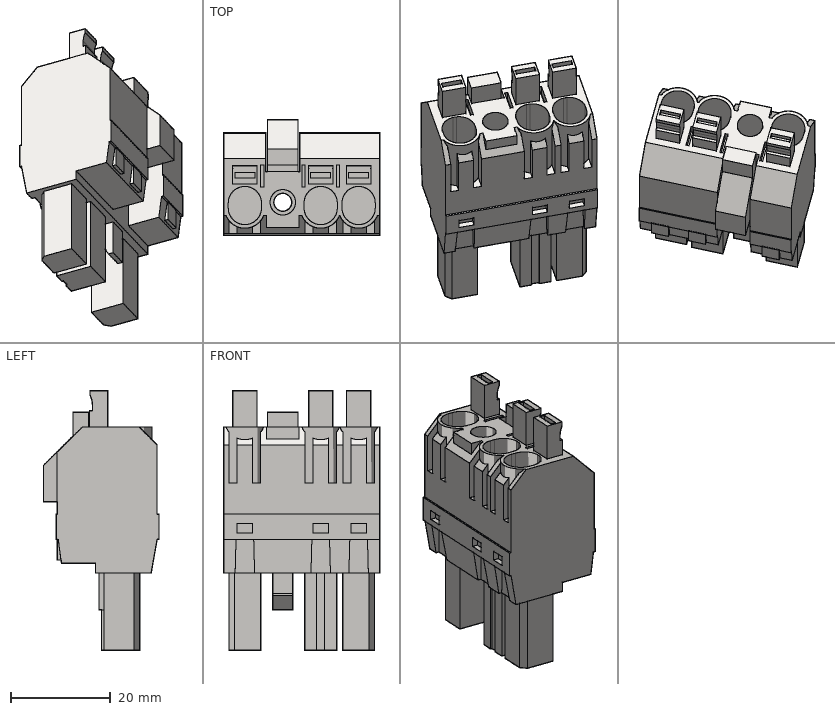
import cadquery as cq
import math


PITCH = 7.6
LATCH_X = -PITCH / 2
POLE_XS = [-1.5 * PITCH, 0.5 * PITCH, 1.5 * PITCH]

HOUSING_WIDTH = 31.35
TOP_Z = 44.8
FRONT_Y = 0.35
BACK_Y = 20.45
FRONT_CHAMFER = 3.6
BACK_CHAMFER = 5.05
BAND_TOP_Z = 27.3
BAND_BOTTOM_Z = 22.25
BAND_BACK_Y = 20.65
BASE_Z = 15.5
BASE_FRONT_Y = 1.55
STEP_Z = 17.45
STEP_Y = 12.75
STEP_BACK_Y = 19.6
SKIRT_BACK_Y = 20.2

ENTRY_RADIUS = 3.35
ENTRY_FRONT_Y = 5.45
ENTRY_STRAIGHT = 1.0
ENTRY_FLAT_WIDTH = 0.75
ENTRY_DEPTH = 15.65
COLLAR_RADIUS = 4.05
GROOVE_WIDTH = 6.35
GROOVE_BOTTOM_Z = 33.55
FINGER_WIDTH = 3.1

SCREW_Y = 6.6
SCREW_RADIUS = 1.75
SCREW_HEAD_RADIUS = 2.55
SCREW_HEAD_DEPTH = 15.65
BOSS_WIDTH = 6.45
BOSS_FRONT_Y = 1.55

SLIT_FRONT_Y = 9.65
SLIT_LENGTH = 4.45
SLIT_WIDTH = 0.6
SLIT_DEPTH = 2.1
LATCH_SLIT_OFFSET = 4.1
POLE_SLIT_X = 7.3

WINDOW_HEIGHT = 1.95
WINDOW_BOTTOM_Z = 23.5
WINDOW_DEPTH = 1.15
RECESS_TOP_WIDTH = 3.55
RECESS_BOTTOM_WIDTH = 3.9
RECESS_FLOOR_Y = 2.25
RIB_BOTTOM_Z = 18.1

PLUG_WIDTH = 6.45
PLUG_FRONT_Y = 3.85
LEFT_PLUG_BACK_Y = 11.05
RIGHT_PLUG_BACK_Y = 11.2
MIDDLE_PLUG_BACK_Y = 11.55
PLUG_CHAMFER = 1.15
PLUG_GROOVE_WIDTH = 1.6
PLUG_GROOVE_DEPTH = 0.3

HOOK_WIDTH = 4.05
HOOK_BACK_Y = 12.1
HOOK_FRONT_Y = 9.7
HOOK_NOSE_Y = 9.4
HOOK_TIP_Y = 11.05
HOOK_LEDGE_Z = 11.35
HOOK_NOSE_Z = 11.0
HOOK_TIP_Z = 8.15

LATCH_SLOT_WIDTH = 6.8
LATCH_WIDTH = 6.2
LATCH_TOP_Z = 47.8
LATCH_FRONT_Y = 14.1
LATCH_SHOULDER_Y = 17.3
LATCH_BACK_Y = 23.2
LATCH_BOTTOM_Z = 29.8
LATCH_SLOPE_BOTTOM_Z = 37.1
LATCH_FOOT_TOP_Z = 41.15

BUTTON_WIDTH = 4.9
BUTTON_FRONT_Y = 10.25
BUTTON_BACK_Y = 13.95
BUTTON_TOP_Z = 52.1
BUTTON_BOTTOM_Z = 39.6
GRIP_BOTTOM_Z = 48.1
GRIP_CURVE_Z = 49.25
GRIP_TOP_Z = 51.15
GRIP_DEPTH = 0.55
TOP_BACK_INSET = 0.1
BLADE_SLOT_WIDTH = 4.0
BLADE_SLOT_FRONT_Y = 11.5
BLADE_SLOT_THICKNESS = 1.05
BLADE_SLOT_DEPTH = 1.05


def block(x_centre, width, y0, y1, z0, z1):
    """Rectangular block centred on x_centre."""
    return cq.Workplane("XY").box(width, y1 - y0, z1 - z0, centered=(True, False, False)).translate(
        (x_centre, y0, z0)
    )


def side_prism(x_centre, width, yz_points):
    """Prism along X with its outline given in the YZ plane."""
    return cq.Workplane("YZ").polyline(yz_points).close().extrude(width / 2, both=True).translate(
        (x_centre, 0, 0)
    )


def cylinder(x, y, radius, z0, z1):
    return cq.Workplane("XY", origin=(x, y, z0)).circle(radius).extrude(z1 - z0)


def housing_shell():
    outline = [
        (BASE_FRONT_Y, BASE_Z),
        (FRONT_Y, BAND_BOTTOM_Z),
        (0, BAND_BOTTOM_Z),
        (0, BAND_TOP_Z),
        (FRONT_Y, BAND_TOP_Z),
        (FRONT_Y, TOP_Z - FRONT_CHAMFER),
        (FRONT_Y + FRONT_CHAMFER, TOP_Z),
        (BACK_Y - BACK_CHAMFER, TOP_Z),
        (BACK_Y, TOP_Z - BACK_CHAMFER),
        (BACK_Y, BAND_TOP_Z),
        (BAND_BACK_Y, BAND_TOP_Z),
        (BAND_BACK_Y, BAND_BOTTOM_Z),
        (SKIRT_BACK_Y, BAND_BOTTOM_Z),
        (STEP_BACK_Y, STEP_Z),
        (STEP_Y, STEP_Z),
        (STEP_Y, BASE_Z),
    ]
    return side_prism(0, HOUSING_WIDTH, outline)


def front_groove(x):
    """Wide groove in front of a wire entry, to be partly refilled by the collar and the finger."""
    return block(x, GROOVE_WIDTH, 0, ENTRY_FRONT_Y, GROOVE_BOTTOM_Z, TOP_Z)


def finger(x):
    """Finger in the middle of a front groove, chamfered like the housing."""
    finger_block = block(x, FINGER_WIDTH, FRONT_Y, ENTRY_FRONT_Y, GROOVE_BOTTOM_Z, TOP_Z)
    return housing_shell().intersect(finger_block)


def entry_collar(x):
    return cylinder(x, ENTRY_FRONT_Y, COLLAR_RADIUS, GROOVE_BOTTOM_Z, TOP_Z)


def entry_hole(x):
    """Oblong hole with a narrow flat on its back wall."""
    slot_length = 2 * ENTRY_RADIUS + ENTRY_STRAIGHT
    floor_z = TOP_Z - ENTRY_DEPTH
    centre = (x, ENTRY_FRONT_Y + ENTRY_STRAIGHT / 2, floor_z)
    hole = cq.Workplane("XY", origin=centre).slot2D(slot_length, 2 * ENTRY_RADIUS, 90).extrude(ENTRY_DEPTH)
    flat_y = ENTRY_FRONT_Y + ENTRY_STRAIGHT + math.sqrt(ENTRY_RADIUS**2 - (ENTRY_FLAT_WIDTH / 2) ** 2)
    return hole.intersect(block(x, 2 * ENTRY_RADIUS, 0, flat_y, floor_z, TOP_Z))


def recess(x):
    """Recess below the band, a little wider at its bottom."""
    half_top = RECESS_TOP_WIDTH / 2
    half_bottom = RECESS_BOTTOM_WIDTH / 2
    outline = [
        (x - half_bottom, BASE_Z),
        (x + half_bottom, BASE_Z),
        (x + half_top, BAND_BOTTOM_Z),
        (x - half_top, BAND_BOTTOM_Z),
    ]
    return cq.Workplane("XZ").polyline(outline).close().extrude(-RECESS_FLOOR_Y)


def window(x):
    return block(x, FINGER_WIDTH, 0, WINDOW_DEPTH, WINDOW_BOTTOM_Z, WINDOW_BOTTOM_Z + WINDOW_HEIGHT)


def back_rib(x):
    return block(x, RECESS_TOP_WIDTH, STEP_Y, BACK_Y, RIB_BOTTOM_Z, BAND_BOTTOM_Z)


def top_slit(x):
    return block(x, SLIT_WIDTH, SLIT_FRONT_Y, SLIT_FRONT_Y + SLIT_LENGTH, TOP_Z - SLIT_DEPTH, TOP_Z)


def plug(x, back_y):
    return block(x, PLUG_WIDTH, PLUG_FRONT_Y, back_y, 0, BASE_Z)


def plugs():
    left_x, middle_x, right_x = POLE_XS
    left = plug(left_x, LEFT_PLUG_BACK_Y).edges("|Z and <X and <Y").chamfer(PLUG_CHAMFER)
    right = plug(right_x, RIGHT_PLUG_BACK_Y).edges("|Z and >X and <Y").chamfer(PLUG_CHAMFER)
    groove = block(middle_x, PLUG_GROOVE_WIDTH, PLUG_FRONT_Y, PLUG_FRONT_Y + PLUG_GROOVE_DEPTH, 0, BASE_Z)
    middle = plug(middle_x, MIDDLE_PLUG_BACK_Y).cut(groove)
    return [left, middle, right]


def hook():
    outline = [
        (HOOK_BACK_Y, BASE_Z),
        (HOOK_FRONT_Y, BASE_Z),
        (HOOK_FRONT_Y, HOOK_LEDGE_Z),
        (HOOK_NOSE_Y, HOOK_LEDGE_Z),
        (HOOK_NOSE_Y, HOOK_NOSE_Z),
        (HOOK_TIP_Y, HOOK_TIP_Z),
        (HOOK_BACK_Y, HOOK_TIP_Z),
    ]
    return side_prism(LATCH_X, HOOK_WIDTH, outline)


def button_outline():
    """Side outline of a button: a finger grip is hollowed into its upper back."""
    grip_y = BUTTON_BACK_Y - GRIP_DEPTH
    top_back_y = BUTTON_BACK_Y - TOP_BACK_INSET
    return (
        cq.Workplane("YZ")
        .moveTo(BUTTON_FRONT_Y, BUTTON_BOTTOM_Z)
        .lineTo(BUTTON_BACK_Y, BUTTON_BOTTOM_Z)
        .lineTo(BUTTON_BACK_Y, GRIP_BOTTOM_Z)
        .lineTo(grip_y, GRIP_BOTTOM_Z)
        .lineTo(grip_y, GRIP_CURVE_Z)
        .tangentArcPoint((top_back_y, GRIP_TOP_Z), relative=False)
        .lineTo(top_back_y, BUTTON_TOP_Z)
        .lineTo(BUTTON_FRONT_Y, BUTTON_TOP_Z)
        .close()
    )


def make_button(x):
    button = button_outline().extrude(BUTTON_WIDTH / 2, both=True).translate((x, 0, 0))
    blade_slot = block(
        x,
        BLADE_SLOT_WIDTH,
        BLADE_SLOT_FRONT_Y,
        BLADE_SLOT_FRONT_Y + BLADE_SLOT_THICKNESS,
        BUTTON_TOP_Z - BLADE_SLOT_DEPTH,
        BUTTON_TOP_Z,
    )
    return button.cut(blade_slot)


def make_latch():
    outline = [
        (STEP_Y, LATCH_BOTTOM_Z),
        (LATCH_BACK_Y, LATCH_BOTTOM_Z),
        (LATCH_BACK_Y, LATCH_SLOPE_BOTTOM_Z),
        (LATCH_SHOULDER_Y, LATCH_SLOPE_BOTTOM_Z + LATCH_BACK_Y - LATCH_SHOULDER_Y),
        (LATCH_SHOULDER_Y, LATCH_TOP_Z),
        (LATCH_FRONT_Y, LATCH_TOP_Z),
        (LATCH_FRONT_Y, LATCH_FOOT_TOP_Z),
        (STEP_Y, LATCH_FOOT_TOP_Z),
    ]
    return side_prism(LATCH_X, LATCH_WIDTH, outline)


def make_housing():
    housing = housing_shell()
    for x in POLE_XS:
        housing = housing.cut(front_groove(x)).union(entry_collar(x)).union(finger(x))
        housing = housing.union(back_rib(x)).cut(entry_hole(x))
        housing = housing.cut(recess(x)).cut(window(x))
        button_pocket = block(x, BUTTON_WIDTH, BUTTON_FRONT_Y, BUTTON_BACK_Y, BUTTON_BOTTOM_Z, TOP_Z)
        housing = housing.cut(button_pocket)

    boss_bottom_z = TOP_Z - FRONT_CHAMFER
    housing = housing.union(block(LATCH_X, BOSS_WIDTH, BOSS_FRONT_Y, SCREW_Y, boss_bottom_z, TOP_Z))
    for solid in [hook(), *plugs()]:
        housing = housing.union(solid)

    housing = housing.cut(cylinder(LATCH_X, SCREW_Y, SCREW_RADIUS, 0, TOP_Z))
    housing = housing.cut(cylinder(LATCH_X, SCREW_Y, SCREW_HEAD_RADIUS, TOP_Z - SCREW_HEAD_DEPTH, TOP_Z))
    housing = housing.cut(block(LATCH_X, LATCH_SLOT_WIDTH, STEP_Y, LATCH_BACK_Y, STEP_Z, TOP_Z))
    for x in (LATCH_X - LATCH_SLIT_OFFSET, LATCH_X + LATCH_SLIT_OFFSET, POLE_SLIT_X):
        housing = housing.cut(top_slit(x))
    return housing


housing = make_housing()
latch = make_latch()
buttons = [make_button(x) for x in POLE_XS]

result = cq.Compound.makeCompound([housing.val(), latch.val(), *[button.val() for button in buttons]])